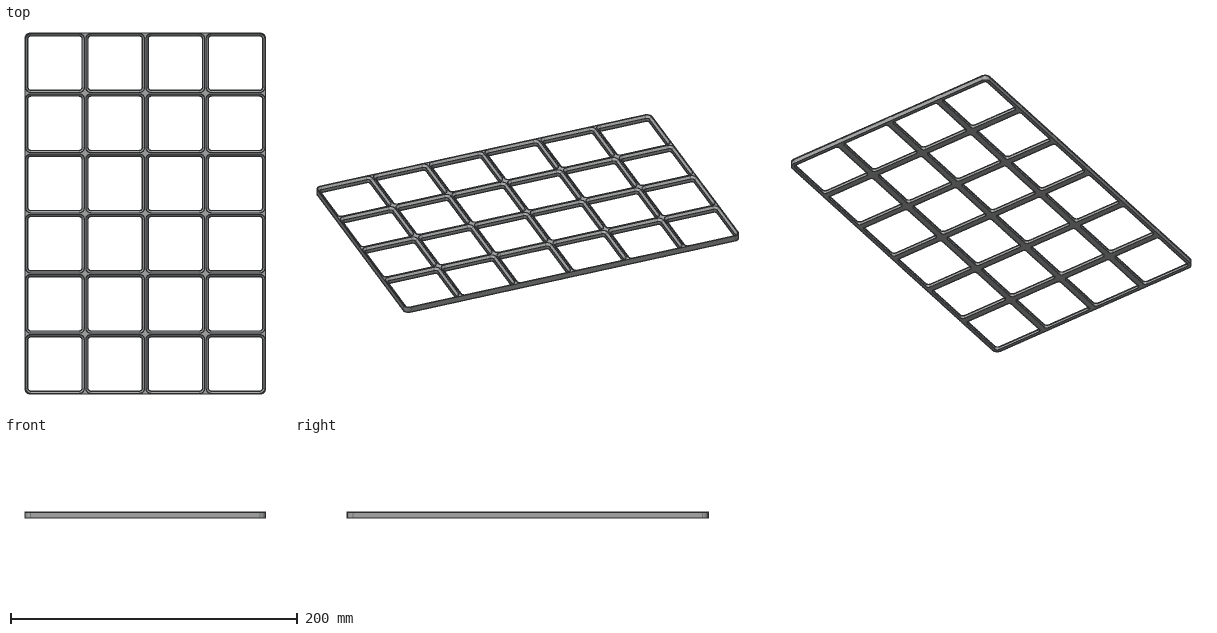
import cadquery as cq

columns = 4
rows = 6
length_y = 252.0
cell_pitch = length_y / rows
length_x = columns * cell_pitch
corner_radius = 4.0

half_land = 0.5
slope_depth = 1.65
wall_height = 2.5
height = wall_height + slope_depth

mouth_width = cell_pitch - 2 * half_land
mouth_radius = corner_radius - half_land
throat_width = mouth_width - 2 * slope_depth
throat_radius = mouth_radius - slope_depth


def rounded_square(width, radius):
    """Flat rounded square centred on the origin in the XY plane."""
    return cq.Sketch().rect(width, width).vertices().fillet(radius)


def make_cell_cutter():
    """Opening of one cell: straight throat below, widening at 45 degrees to the top."""
    throat_outline = rounded_square(throat_width, throat_radius)
    mouth_outline = rounded_square(mouth_width, mouth_radius)
    rise = cq.Location(cq.Vector(0, 0, slope_depth))
    throat = cq.Workplane("XY").placeSketch(throat_outline).extrude(wall_height)
    funnel = (
        cq.Workplane("XY", origin=(0, 0, wall_height))
        .placeSketch(throat_outline, mouth_outline.moved(rise))
        .loft(ruled=True)
    )
    return throat.union(funnel)


def make_slab():
    """Solid plate with rounded vertical corners, resting on Z = 0."""
    slab = cq.Workplane("XY").box(length_x, length_y, height, centered=(True, True, False))
    return slab.edges("|Z").fillet(corner_radius)


cell_cutter = make_cell_cutter().val()
cell_centres = cq.Workplane("XY").rarray(cell_pitch, cell_pitch, columns, rows)
openings = cell_centres.eachpoint(lambda place: cell_cutter.moved(place))

result = make_slab().cut(openings)